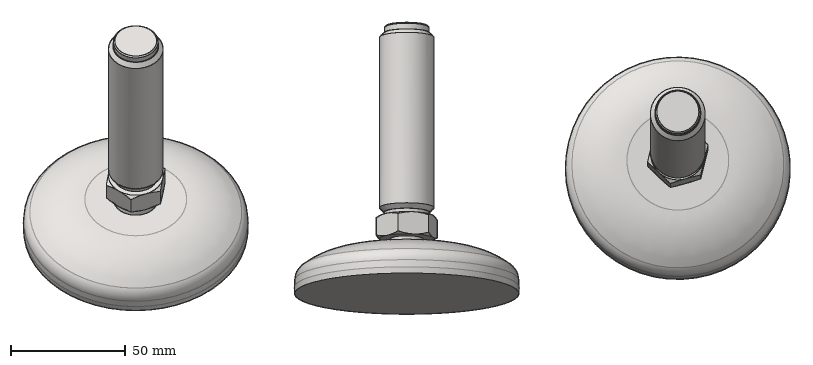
import cadquery as cq
import math

rim_height = 2.7
wall_top = 6.0
dome_top = 19.4
ball_top = 22.5
nut_bottom = 24.4
nut_top = 34.3
neck_top = 36.2
thread_bottom = 38.3
thread_top = 114.2
tip_bottom = 116.1
overall_height = 119.2

base_diameter = 98.2
rim_diameter = 98.6
flat_diameter = 44.6
socket_diameter = 19.5
shoulder_radius = 6.8

ball_diameter = 18.4
stem_diameter = 14.3
thread_diameter = 24.0
bevel_diameter = 20.1
neck_diameter = 19.5
tip_diameter = 19.5
tip_chamfer = 0.6

ball_radius = ball_diameter / 2
ball_center = ball_top - math.sqrt(ball_radius**2 - (stem_diameter / 2) ** 2)

nut_across_flats = thread_diameter
nut_across_corners = nut_across_flats / math.cos(math.radians(30))
nut_bevel_angle = 30
corner_direction = 90


def shoulder_angle():
    """Polar angle, in radians, where the shoulder arc runs tangentially into the dome arc.

    The arc centres lie on one line through that point. With d the distance between
    them, run = d * cos(angle) and drop = d * (1 - sin(angle)).
    """
    run = (base_diameter - flat_diameter) / 2 - shoulder_radius
    drop = dome_top - wall_top - shoulder_radius
    return math.pi / 2 - 2 * math.atan2(drop, run)


def make_foot():
    """Round foot: slightly bulged rim, rounded shoulder and a flat-topped dome with a ball socket."""
    base_radius = base_diameter / 2
    flat_radius = flat_diameter / 2
    shoulder_center_radius = base_radius - shoulder_radius
    joint_angle = shoulder_angle()
    dome_radius = shoulder_radius + (shoulder_center_radius - flat_radius) / math.cos(joint_angle)
    dome_center_height = dome_top - dome_radius

    def shoulder_point(angle):
        return (
            shoulder_center_radius + shoulder_radius * math.cos(angle),
            wall_top + shoulder_radius * math.sin(angle),
        )

    def dome_point(angle):
        return (
            flat_radius + dome_radius * math.cos(angle),
            dome_center_height + dome_radius * math.sin(angle),
        )

    profile = (
        cq.Workplane("XZ")
        .lineTo(base_radius, 0)
        .lineTo(rim_diameter / 2, rim_height)
        .lineTo(base_radius, wall_top)
        .threePointArc(shoulder_point(joint_angle / 2), shoulder_point(joint_angle))
        .threePointArc(dome_point((joint_angle + math.pi / 2) / 2), (flat_radius, dome_top))
        .lineTo(0, dome_top)
        .close()
    )
    foot = profile.revolve(360, (0, 0), (0, 1))
    socket = (
        cq.Workplane("XY")
        .workplane(offset=ball_center)
        .circle(socket_diameter / 2)
        .extrude(dome_top - ball_center)
    )
    return foot.cut(socket)


def make_spindle():
    """Turned spindle: ball end, stem, neck, thread body with bevelled ends and reduced tip."""
    ball_mid_angle = math.acos(stem_diameter / ball_diameter) / 2
    ball_mid_point = (
        ball_radius * math.cos(ball_mid_angle),
        ball_center + ball_radius * math.sin(ball_mid_angle),
    )
    profile = (
        cq.Workplane("XZ")
        .moveTo(0, ball_center)
        .lineTo(ball_radius, ball_center)
        .threePointArc(ball_mid_point, (stem_diameter / 2, ball_top))
        .lineTo(stem_diameter / 2, nut_bottom)
        .lineTo(neck_diameter / 2, nut_bottom)
        .lineTo(neck_diameter / 2, neck_top)
        .lineTo(bevel_diameter / 2, neck_top)
        .lineTo(thread_diameter / 2, thread_bottom)
        .lineTo(thread_diameter / 2, thread_top)
        .lineTo(bevel_diameter / 2, tip_bottom)
        .lineTo(tip_diameter / 2, tip_bottom)
        .lineTo(tip_diameter / 2, overall_height - tip_chamfer)
        .lineTo(tip_diameter / 2 - tip_chamfer, overall_height)
        .lineTo(0, overall_height)
        .close()
    )
    return profile.revolve(360, (0, 0), (0, 1))


def make_nut():
    """Hexagon with corners on the Y axis, its corners bevelled by a cone at each end."""
    nut_height = nut_top - nut_bottom
    hexagon = (
        cq.Workplane("XY")
        .workplane(offset=nut_bottom)
        .transformed(rotate=(0, 0, corner_direction))
        .polygon(6, nut_across_corners)
        .extrude(nut_height)
    )
    bevel_width = (nut_across_corners - nut_across_flats) / 2
    bevel_height = bevel_width * math.tan(math.radians(nut_bevel_angle))
    bevel_envelope = (
        cq.Workplane("XY")
        .workplane(offset=nut_bottom)
        .circle(nut_across_corners / 2)
        .extrude(nut_height)
        .faces("<Z or >Z")
        .chamfer(bevel_height, bevel_width)
    )
    return hexagon.intersect(bevel_envelope)


result = make_foot().union(make_spindle()).union(make_nut())